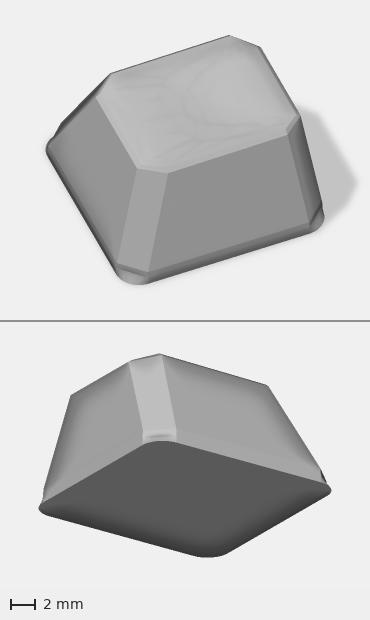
import cadquery as cq
import math

width = 18.16
half_width = width / 2
corner_radius = 2.0
corner_start = half_width - corner_radius
skirt_height = 0.73
shoulder_height = 1.29
shoulder_inset = 0.07

rim_half_width = 6.03
rim_back_y = 8.4
rim_front_y = -6.05
rim_side_back_y = 6.45
rim_side_front_y = -4.05
rim_back_half_length = 4.12
rim_front_half_length = 4.29

wall_side_back_z = 8.97
wall_side_front_z = 8.8
wall_back_z = 8.59
wall_front_z = 8.5

bevel_width = 0.38
bevel_rise_side = 0.29
bevel_rise_end = 0.25
dish_center_z = 8.54


def octagon(half_x, back_y, front_y, side_back_y, side_front_y, back_x, front_x, heights):
    """Eight corners, counter-clockwise from the front end of the right side.

    heights: front end of the sides, back end of the sides, back edge, front edge.
    """
    side_front_z, side_back_z, back_z, front_z = heights
    return [
        cq.Vector(half_x, side_front_y, side_front_z),
        cq.Vector(half_x, side_back_y, side_back_z),
        cq.Vector(back_x, back_y, back_z),
        cq.Vector(-back_x, back_y, back_z),
        cq.Vector(-half_x, side_back_y, side_back_z),
        cq.Vector(-half_x, side_front_y, side_front_z),
        cq.Vector(-front_x, front_y, front_z),
        cq.Vector(front_x, front_y, front_z),
    ]


def square_octagon(half, z):
    """Square ring with its corners cut off at the ends of the skirt sides."""
    return octagon(half, half, -half, corner_start, -corner_start, corner_start, corner_start, [z] * 4)


def straight_ring(points):
    """Closed ring of straight edges."""
    return [cq.Edge.makeLine(p, q) for p, q in zip(points, points[1:] + points[:1])]


def rounded_ring(points):
    """Closed ring whose odd-numbered edges are corner arcs."""
    edges = straight_ring(points)
    arc_middle = corner_start + corner_radius * math.sqrt(0.5)
    for i in range(1, len(points), 2):
        start = points[i]
        end = points[(i + 1) % len(points)]
        middle = cq.Vector(
            math.copysign(arc_middle, start.x + end.x),
            math.copysign(arc_middle, start.y + end.y),
            start.z,
        )
        edges[i] = cq.Edge.makeThreePointArc(start, middle, end)
    return edges


foot = rounded_ring(square_octagon(half_width, 0))
skirt = straight_ring(square_octagon(half_width, skirt_height))
shoulder = straight_ring(square_octagon(half_width - shoulder_inset, shoulder_height))

wall_top = straight_ring(octagon(
    rim_half_width, rim_back_y, rim_front_y, rim_side_back_y, rim_side_front_y,
    rim_back_half_length, rim_front_half_length,
    [wall_side_front_z, wall_side_back_z, wall_back_z, wall_front_z],
))

dish_edge = straight_ring(octagon(
    rim_half_width - bevel_width, rim_back_y - bevel_width, rim_front_y + bevel_width,
    rim_side_back_y, rim_side_front_y, rim_back_half_length, rim_front_half_length,
    [
        wall_side_front_z + bevel_rise_side,
        wall_side_back_z + bevel_rise_side,
        wall_back_z + bevel_rise_end,
        wall_front_z + bevel_rise_end,
    ],
))

rings = [foot, skirt, shoulder, wall_top, dish_edge]
faces = []
for lower, upper in zip(rings, rings[1:]):
    for lower_edge, upper_edge in zip(lower, upper):
        faces.append(cq.Face.makeRuledSurface(lower_edge, upper_edge))

underside = cq.Face.makeFromWires(cq.Wire.assembleEdges(foot))
dish = cq.Face.makeNSidedSurface(dish_edge, [cq.Vector(0, 0, dish_center_z)])
faces += [underside, dish]

result = cq.Workplane(obj=cq.Solid.makeSolid(cq.Shell.makeShell(faces)).fix())